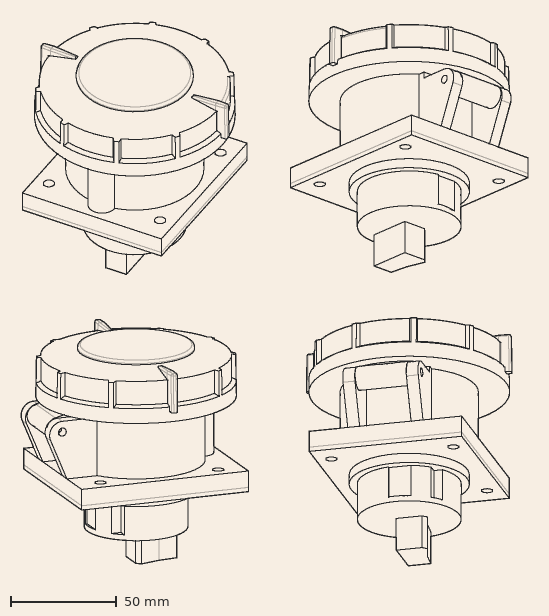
import cadquery as cq
import math

terminal_height = 16.1
barrel_height = 18.0
collar_height = 4.65
seal_thickness = 2.15
flange_thickness = 8.1
sleeve_height = 31.7
cap_skirt_height = 7.2
cap_drum_height = 12.9
cone_height = 3.1
cap_total_height = 26.67

barrel_bottom_z = terminal_height
collar_bottom_z = barrel_bottom_z + barrel_height
seal_bottom_z = collar_bottom_z + collar_height
flange_bottom_z = seal_bottom_z + seal_thickness
flange_top_z = flange_bottom_z + flange_thickness
cap_bottom_z = flange_top_z + sleeve_height
skirt_top_z = cap_bottom_z + cap_skirt_height
drum_top_z = skirt_top_z + cap_drum_height
cone_top_z = drum_top_z + cone_height
cap_top_z = cap_bottom_z + cap_total_height

flange_length_x = 75.0
flange_length_y = 85.0
mount_hole_diameter = 5.3
mount_hole_pitch = 60.0
sleeve_radius = 32.8
key_boss_radius = 6.65
key_boss_y = -32.45
collar_radius = 28.5
barrel_radius = 24.65

barrel_rim_height = 2.75
notch_bottom_z = barrel_bottom_z + barrel_rim_height
side_notch_floor_x = -15.95
side_notch_wall_y = 14.0
back_notch_floor_y = 23.5
back_notch_wall_x = 3.5

terminal_left_x = -9.2
terminal_bend_x = -6.5
terminal_front_left_x = -5.5
terminal_right_x = 5.6
terminal_front_y = -18.65
terminal_bend_y = -9.0
terminal_shoulder_y = 0.9
terminal_back_y = 3.0
terminal_back_chamfer = terminal_back_y - terminal_shoulder_y

hinge_half_width = 18.5
hinge_gap = 25.3
hinge_y = 44.8
hinge_pin_z = 72.4
hinge_hole_diameter = 3.9
lug_tip_y = 51.33
lug_tip_radius = 6.4
lug_tip_center_y = lug_tip_y - lug_tip_radius
lug_tip_center_z = 71.3
lug_top_z = lug_tip_center_z + lug_tip_radius
lug_step_y = 30.5

skirt_radius = 47.65
rim_radius = 47.3
drum_radius = 45.3
ledge_rise = 1.35
disc_radius = 27.8
disc_edge_radius = 1.3
disc_edge_height = 1.9
disc_edge_top_z = cone_top_z + disc_edge_height
rib_count = 10
rib_tip_width = 2.3
rib_flank_angle = 180.0 / rib_count
window_overcut = 2.0
rounded_window_fillet = 1.5

wing_tip_x = 50.415
wing_shoulder_x = 44.5
wing_inner_x = 31.2
wing_bottom_z = 85.7
wing_top_z = 104.75
wing_inner_top_z = 103.95
wing_outer_width = 3.0
wing_shoulder_width = 3.7
wing_inner_width = 2.4
wing_outer_draft = 0.35
wing_edge_fillet = 0.9
selection_margin = 0.1

knuckle_radius = 5.7
arm_end_radius = 41.4
arm_end_z = 79.6
arm_inner_top_y = 34.3
arm_inner_slope = 1.3


def disc(radius, bottom_z, height, x=0.0, y=0.0):
    """Upright cylinder standing on bottom_z."""
    return cq.Workplane("XY", origin=(x, y, bottom_z)).circle(radius).extrude(height)


def plate(bottom_z, thickness):
    """Rectangular plate of the flange's outline, with the four mounting holes."""
    base = cq.Workplane("XY", origin=(0, 0, bottom_z))
    blank = base.rect(flange_length_x, flange_length_y).extrude(thickness)
    holes = (
        base.rect(mount_hole_pitch, mount_hole_pitch, forConstruction=True)
        .vertices()
        .circle(mount_hole_diameter / 2)
        .extrude(thickness)
    )
    return blank.cut(holes)


def block(x_range, y_range, z_range):
    """Axis-aligned box between the given limits."""
    size = [high - low for low, high in (x_range, y_range, z_range)]
    return cq.Workplane("XY").box(*size, centered=False).translate((x_range[0], y_range[0], z_range[0]))


def tangent_point(start, center, radius, side):
    """Point where a line from start touches a circle; side is +1 or -1 for the two tangents."""
    dx = start[0] - center[0]
    dy = start[1] - center[1]
    angle = math.atan2(dy, dx) + side * math.acos(radius / math.hypot(dx, dy))
    return (center[0] + radius * math.cos(angle), center[1] + radius * math.sin(angle))


def along_x(sketch, start_x, width):
    """Extrude a profile drawn on the YZ plane from start_x towards +X."""
    return sketch.extrude(width).translate((start_x, 0, 0))


def hinge_bore():
    profile = cq.Workplane("YZ").center(hinge_y, hinge_pin_z).circle(hinge_hole_diameter / 2)
    return along_x(profile, -hinge_half_width, 2 * hinge_half_width)


def hinge_lugs():
    """Two lugs on the flange: slanted back edge, round tip, flat top stepping up to the cap."""
    foot = (flange_length_y / 2, flange_top_z)
    center = (lug_tip_center_y, lug_tip_center_z)
    touch = tangent_point(foot, center, lug_tip_radius, 1)
    top_angle = math.pi / 2
    touch_angle = math.atan2(touch[1] - center[1], touch[0] - center[0])
    mid_angle = (top_angle + touch_angle) / 2
    mid = (center[0] + lug_tip_radius * math.cos(mid_angle), center[1] + lug_tip_radius * math.sin(mid_angle))
    profile = (
        cq.Workplane("YZ")
        .moveTo(0, flange_top_z)
        .lineTo(*foot)
        .lineTo(*touch)
        .threePointArc(mid, (lug_tip_center_y, lug_top_z))
        .lineTo(lug_step_y, lug_top_z)
        .lineTo(lug_step_y, cap_bottom_z)
        .lineTo(0, cap_bottom_z)
        .close()
    )
    both = along_x(profile, -hinge_half_width, 2 * hinge_half_width)
    gap = block(
        (-hinge_gap / 2, hinge_gap / 2),
        (0, lug_tip_y),
        (flange_top_z, cap_bottom_z),
    )
    return both.cut(gap).cut(hinge_bore())


def barrel():
    """Rear barrel with the two notches in its back."""
    body = disc(barrel_radius, barrel_bottom_z, barrel_height)
    notch_z = (notch_bottom_z, collar_bottom_z)
    side_notch = block((-barrel_radius, side_notch_floor_x), (side_notch_wall_y, barrel_radius), notch_z)
    back_notch = block((-barrel_radius, back_notch_wall_x), (back_notch_floor_y, barrel_radius), notch_z)
    return body.cut(side_notch).cut(back_notch)


def terminal():
    """Cable terminal under the barrel, a bent prism."""
    corners = [
        (terminal_front_left_x, terminal_front_y),
        (terminal_right_x, terminal_front_y),
        (terminal_right_x, terminal_back_y),
        (terminal_left_x + terminal_back_chamfer, terminal_back_y),
        (terminal_left_x, terminal_shoulder_y),
        (terminal_bend_x, terminal_bend_y),
    ]
    return cq.Workplane("XY").polyline(corners).close().extrude(terminal_height)


def make_housing():
    front = (
        plate(flange_bottom_z, flange_thickness)
        .union(disc(sleeve_radius, flange_top_z, sleeve_height))
        .union(disc(key_boss_radius, flange_top_z, sleeve_height, y=key_boss_y))
        .union(hinge_lugs())
    )
    rear = disc(collar_radius, collar_bottom_z, collar_height).union(barrel()).union(terminal())
    seal = plate(seal_bottom_z, seal_thickness).union(rear)
    return front.union(seal, clean=False)


def cap_blank():
    """Round cap without windows: slightly drafted wall, cone, round-edged disc and domed top."""
    cone_slope = cone_height / (drum_radius - disc_radius)
    rim_z = drum_top_z - cone_slope * (rim_radius - drum_radius)
    dome_edge_x = disc_radius - disc_edge_radius
    dome_rise = cap_top_z - disc_edge_top_z
    dome_radius = (dome_edge_x**2 + dome_rise**2) / (2 * dome_rise)
    dome_mid_x = dome_edge_x / 2
    dome_mid_z = cap_top_z - dome_radius + math.sqrt(dome_radius**2 - dome_mid_x**2)
    edge_mid = disc_edge_radius * math.sqrt(0.5)
    edge_center_z = disc_edge_top_z - disc_edge_radius
    return (
        cq.Workplane("XZ")
        .moveTo(0, cap_bottom_z)
        .lineTo(skirt_radius, cap_bottom_z)
        .lineTo(rim_radius, rim_z)
        .lineTo(disc_radius, cone_top_z)
        .lineTo(disc_radius, edge_center_z)
        .threePointArc((dome_edge_x + edge_mid, edge_center_z + edge_mid), (dome_edge_x, disc_edge_top_z))
        .threePointArc((dome_mid_x, dome_mid_z), (0, cap_top_z))
        .close()
        .revolve(360, (0, 0, 0), (0, 1, 0))
    )


def cap_windows():
    """Ring of windows that leaves the drum, its sloped ledge and the flared ribs."""
    outer_radius = skirt_radius + window_overcut
    ledge_slope = ledge_rise / (skirt_radius - drum_radius)
    windows = (
        cq.Workplane("XZ")
        .moveTo(outer_radius, skirt_top_z - ledge_slope * window_overcut)
        .lineTo(drum_radius, skirt_top_z + ledge_rise)
        .lineTo(drum_radius, cone_top_z)
        .lineTo(outer_radius, cone_top_z)
        .close()
        .revolve(360, (0, 0, 0), (0, 1, 0))
    )
    flank_slope = math.tan(math.radians(rib_flank_angle))
    root_radius = drum_radius - window_overcut
    root = rib_tip_width / 2 + flank_slope * (skirt_radius - root_radius)
    end = rib_tip_width / 2 - flank_slope * window_overcut
    rib = (
        cq.Workplane("XY", origin=(0, 0, cap_bottom_z))
        .polyline([(root_radius, -root), (outer_radius, -end), (outer_radius, end), (root_radius, root)])
        .close()
        .extrude(cap_total_height)
    )
    for i in range(rib_count):
        windows = windows.cut(rib.rotate((0, 0, 0), (0, 0, 1), 360.0 * i / rib_count))
    return windows


def grip_wing():
    """Upright wing on the +X side, pinched at both ends, falling towards the middle of the cap."""
    half_plan = [
        (wing_inner_x, wing_inner_width / 2),
        (wing_shoulder_x, wing_shoulder_width / 2),
        (wing_tip_x, wing_outer_width / 2),
    ]
    plan = half_plan + [(x, -y) for x, y in reversed(half_plan)]
    column = (
        cq.Workplane("XY", origin=(0, 0, wing_bottom_z))
        .polyline(plan)
        .close()
        .extrude(wing_top_z - wing_bottom_z)
    )
    side = (
        cq.Workplane("XZ")
        .moveTo(wing_shoulder_x, wing_bottom_z)
        .lineTo(wing_tip_x, wing_bottom_z)
        .lineTo(wing_tip_x - wing_outer_draft, wing_top_z)
        .lineTo(wing_shoulder_x, wing_top_z)
        .lineTo(wing_inner_x, wing_inner_top_z)
        .lineTo(wing_inner_x, skirt_top_z)
        .lineTo(wing_shoulder_x, skirt_top_z)
        .close()
        .extrude(wing_shoulder_width, both=True)
    )
    wing = column.intersect(side)
    top_corner_low = (wing_inner_x - selection_margin, -wing_shoulder_width, wing_inner_top_z - selection_margin)
    top_corner_high = (wing_tip_x, wing_shoulder_width, wing_top_z + selection_margin)
    top_edges = wing.edges(cq.selectors.BoxSelector(top_corner_low, top_corner_high))
    tip_edges = wing.faces(">X").edges("not <Z")
    rounded_edges = set(top_edges.vals() + tip_edges.vals())
    return wing.newObject(list(rounded_edges)).fillet(wing_edge_fillet)


def hinge_arm():
    """Arm from the cap's underside to the knuckle between the housing's lugs."""
    center = (hinge_y, hinge_pin_z)
    arm_end_y = math.sqrt(arm_end_radius**2 - (hinge_gap / 2) ** 2)
    upper_end = (arm_end_y, arm_end_z)
    upper_touch = tangent_point(upper_end, center, knuckle_radius, -1)
    inner_foot_y = arm_inner_top_y + (cap_bottom_z - hinge_pin_z) / arm_inner_slope
    profile = (
        cq.Workplane("YZ")
        .moveTo(*center)
        .lineTo(*upper_touch)
        .lineTo(*upper_end)
        .lineTo(arm_end_y, cap_bottom_z)
        .lineTo(arm_inner_top_y, cap_bottom_z)
        .lineTo(inner_foot_y, hinge_pin_z)
        .close()
    )
    arm = along_x(profile, -hinge_gap / 2, hinge_gap)
    knuckle = along_x(cq.Workplane("YZ").center(*center).circle(knuckle_radius), -hinge_gap / 2, hinge_gap)
    root = disc(arm_end_radius, arm_end_z, cap_bottom_z - arm_end_z).intersect(
        block((-hinge_gap / 2, hinge_gap / 2), (arm_end_y, arm_end_radius), (arm_end_z, cap_bottom_z))
    )
    return arm.union(knuckle).union(root).cut(hinge_bore())


def rounded_window_rim():
    """Selects the top inner edge of the one rounded window, next to the wing on the +X, +Y side."""
    angle = math.radians(180.0 / rib_count)
    return cq.selectors.NearestToPointSelector(
        (drum_radius * math.cos(angle), drum_radius * math.sin(angle), drum_top_z)
    )


def make_cap():
    cap = cap_blank().cut(cap_windows())
    cap = cap.edges(rounded_window_rim()).fillet(rounded_window_fillet)
    for angle in (0, 180):
        cap = cap.union(grip_wing().rotate((0, 0, 0), (0, 0, 1), angle))
    return cap.union(hinge_arm())


housing = make_housing()
cap = make_cap()
result = cq.Compound.makeCompound([*housing.solids().vals(), *cap.solids().vals()])